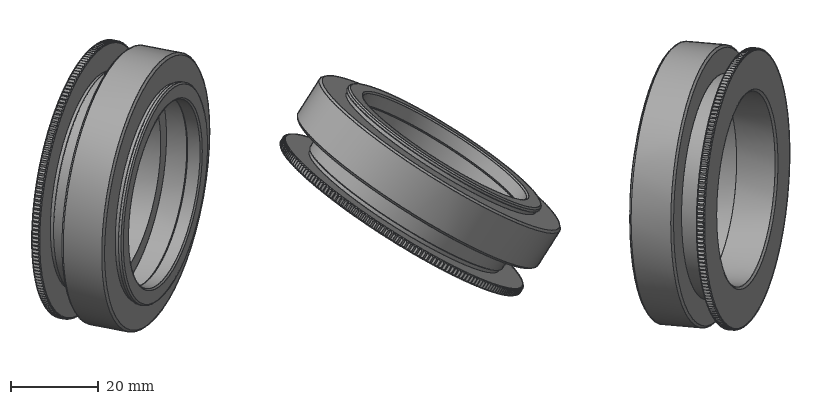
import cadquery as cq
import math

FLANGE_RADIUS = 32.5
THREAD_RADIUS = 26.0
RELIEF_RADIUS = 25.55
CHAMFER = 0.5

RIM_RADIUS = 32.4
RIM_CHAMFER = 0.4
RIM_WIDTH = 2.0
NECK_WIDTH = 1.0
CLAMP_END = 9.75
CLAMP_BORE_RADIUS = 22.5

FLANGE_START = 7.5
FLANGE_END = 18.0
HOUSING_END = 20.0
SHELF_X = 16.2
HOUSING_BORE_RADIUS = 22.05
NOSE_CHAMFER = 0.4
BORE_CHAMFER = 0.4

GROOVE_COUNT = 200
GROOVE_DEPTH = 0.36


def turned(outline):
    """Revolve an (x, radius) outline about the X axis."""
    return cq.Workplane("XY").polyline(outline).close().revolve(360, (0, 0, 0), (1, 0, 0))


def knurled_disc():
    """Toothed disc, as wide as the rim, with V grooves running along X."""
    pitch = 2 * math.pi / GROOVE_COUNT
    root_radius = RIM_RADIUS - GROOVE_DEPTH
    points = []
    for tooth in range(GROOVE_COUNT):
        crest = tooth * pitch
        for radius, angle in ((RIM_RADIUS, crest), (root_radius, crest + pitch / 2)):
            points.append((radius * math.cos(angle), radius * math.sin(angle)))
    return cq.Workplane("YZ").polyline(points).close().extrude(RIM_WIDTH)


def make_clamp_ring():
    """Knurled rim with a relieved, threaded sleeve that enters the housing."""
    chamfered_rim = turned([
        (0, 0),
        (0, RIM_RADIUS - RIM_CHAMFER),
        (RIM_CHAMFER, RIM_RADIUS),
        (RIM_WIDTH - RIM_CHAMFER, RIM_RADIUS),
        (RIM_WIDTH, RIM_RADIUS - RIM_CHAMFER),
        (RIM_WIDTH, 0),
    ])
    rim = knurled_disc().intersect(chamfered_rim)
    neck_end = RIM_WIDTH + NECK_WIDTH
    sleeve = turned([
        (0, 0),
        (0, RELIEF_RADIUS),
        (neck_end, RELIEF_RADIUS),
        (neck_end, THREAD_RADIUS),
        (CLAMP_END, THREAD_RADIUS),
        (CLAMP_END, 0),
    ])
    bore = turned([
        (0, 0),
        (0, CLAMP_BORE_RADIUS + CHAMFER),
        (CHAMFER, CLAMP_BORE_RADIUS),
        (CLAMP_END, CLAMP_BORE_RADIUS),
        (CLAMP_END, 0),
    ])
    return rim.union(sleeve).cut(bore)


def make_housing():
    """Flanged body with a female thread on one side and a threaded nose on the other."""
    neck_end = FLANGE_END + NECK_WIDTH
    return turned([
        (FLANGE_START, THREAD_RADIUS),
        (FLANGE_START, FLANGE_RADIUS - CHAMFER),
        (FLANGE_START + CHAMFER, FLANGE_RADIUS),
        (FLANGE_END - CHAMFER, FLANGE_RADIUS),
        (FLANGE_END, FLANGE_RADIUS - CHAMFER),
        (FLANGE_END, RELIEF_RADIUS),
        (neck_end, RELIEF_RADIUS),
        (neck_end, THREAD_RADIUS),
        (HOUSING_END - NOSE_CHAMFER, THREAD_RADIUS),
        (HOUSING_END, THREAD_RADIUS - NOSE_CHAMFER),
        (HOUSING_END, HOUSING_BORE_RADIUS + BORE_CHAMFER),
        (HOUSING_END - BORE_CHAMFER, HOUSING_BORE_RADIUS),
        (SHELF_X + BORE_CHAMFER, HOUSING_BORE_RADIUS),
        (SHELF_X, HOUSING_BORE_RADIUS + BORE_CHAMFER),
        (SHELF_X, THREAD_RADIUS),
    ])


clamp_ring = make_clamp_ring()
housing = make_housing()

centring = (-HOUSING_END / 2, 0, 0)
result = cq.Compound.makeCompound([
    clamp_ring.translate(centring).val(),
    housing.translate(centring).val(),
])